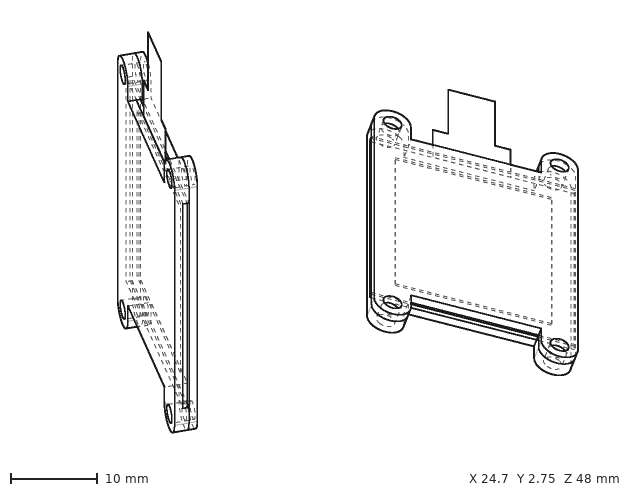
import cadquery as cq

width = 24.7
depth = 2.75
total_height = 48.05
case_height = 38.8

ear_width = 4.45
ear_length = 4.45
hole_diameter = 2.2
ear_radius = ear_width / 2

front_wall = 1.0
cover_thickness = 1.0
gap = 0.25
frame_depth = depth - cover_thickness
panel_thickness = frame_depth - front_wall - gap

pad_margin = 2.9
tail_thickness = 0.03
tail_base_width = 9.4
tail_tip_width = 5.65
tail_step_z = 39.6

panel_bottom = ear_length
panel_top = case_height - ear_length


def block(size_x, y_start, size_y, z_start, z_end):
    """Box centred on X, spanning the given stretches of Y and Z."""
    return cq.Workplane("XY").box(
        size_x, size_y, z_end - z_start, centered=(True, False, False)
    ).translate((0, y_start, z_start))


def eared_plate(y_start, thickness):
    """Rectangular plate with a round-ended, drilled ear at each corner."""
    hole_x = width / 2 - ear_radius
    hole_bottom = ear_radius
    hole_top = case_height - ear_radius
    centers = [(x, z) for x in (-hole_x, hole_x) for z in (hole_bottom, hole_top)]

    plate = block(width, y_start, thickness, panel_bottom, panel_top)
    for x in (-hole_x, hole_x):
        ear_strip = block(ear_width, y_start, thickness, hole_bottom, hole_top)
        plate = plate.union(ear_strip.translate((x, 0, 0)))

    face = cq.Workplane("XZ", origin=(0, y_start, 0))
    ear_ends = face.pushPoints(centers).circle(ear_radius).extrude(-thickness)
    holes = face.pushPoints(centers).circle(hole_diameter / 2).extrude(-thickness)
    return plate.union(ear_ends).cut(holes)


def make_frame():
    """Front plate with full-depth ears and an open recess for the panel."""
    recess = block(width, front_wall, frame_depth - front_wall, panel_bottom, panel_top)
    return eared_plate(0, frame_depth).cut(recess)


def make_cover():
    """Plain rear plate closing the case."""
    return eared_plate(frame_depth, cover_thickness)


def make_display():
    """Panel in the recess, with a pad bearing on the cover and a stepped tail."""
    panel = block(width, front_wall, panel_thickness, panel_bottom, panel_top)
    pad = block(
        width - 2 * pad_margin,
        front_wall + panel_thickness,
        gap,
        panel_bottom + pad_margin,
        panel_top - pad_margin,
    )
    tail_base = block(tail_base_width, front_wall, tail_thickness, panel_top, tail_step_z)
    tail_tip = block(tail_tip_width, front_wall, tail_thickness, tail_step_z, total_height)
    return panel.union(pad).union(tail_base).union(tail_tip)


frame = make_frame()
cover = make_cover()
display = make_display()

result = cq.Compound.makeCompound(
    [frame.solids().val(), cover.solids().val(), display.solids().val()]
)